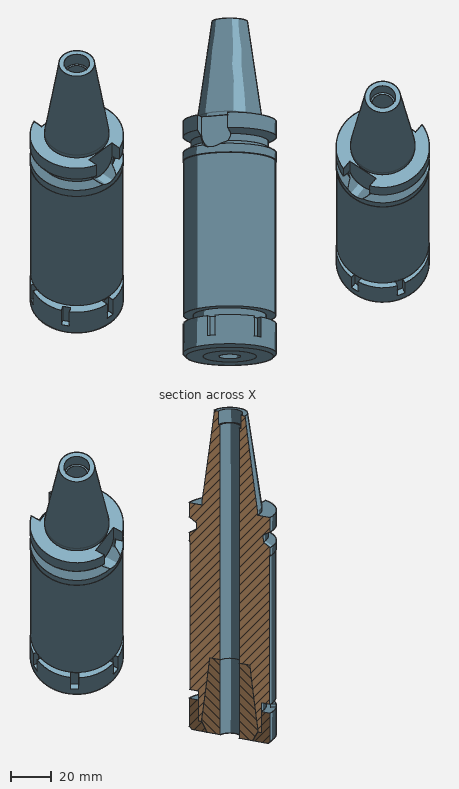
import cadquery as cq
import math


GAUGE_RADIUS = 31.75 / 2
TAPER_LENGTH = 48.4
TAPER_PER_LENGTH = 7 / 24
SHANK_TIP_RADIUS = GAUGE_RADIUS - TAPER_LENGTH * TAPER_PER_LENGTH / 2

FLANGE_RADIUS = 23.0
FLANGE_TOP = -2.0
FLANGE_BOTTOM = -22.2
FLANGE_EDGE_CHAMFER = 0.25
GROOVE_RADIUS = 19.1
GROOVE_MIDDLE = -13.65
GROOVE_FLOOR_WIDTH = 3.5
GROOVE_ANGLE = 60.0
GROOVE_MOUTH_WIDTH = GROOVE_FLOOR_WIDTH + 2 * (FLANGE_RADIUS - GROOVE_RADIUS) * math.tan(
    math.radians(GROOVE_ANGLE / 2)
)

NOTCH_WIDTH = 16.1
NOTCH_FLOOR_DISTANCE = 16.3
NOTCH_BOTTOM = -19.0

BODY_RADIUS = FLANGE_RADIUS - FLANGE_EDGE_CHAMFER
BODY_BOTTOM = -99.4
NOSE_RADIUS = 18.0

THROUGH_BORE_RADIUS = 5.3
COUNTERBORE_RADIUS = 6.25
COUNTERBORE_DEPTH = 7.0

NUT_RADIUS = 23.0
NUT_TOP = -103.8
NUT_BOTTOM = -120.0
NUT_CHAMFER = 1.5
NUT_SLOT_COUNT = 6
NUT_SLOT_WIDTH = 4.0
NUT_SLOT_DEPTH = 3.0
NUT_SLOT_HEIGHT = 10.0
NUT_FRONT_WALL = 5.0
NOSE_BOTTOM = NUT_BOTTOM + NUT_FRONT_WALL

COLLET_RADIUS = 16.0
COLLET_SEAT_LENGTH = 34.0
COLLET_SEAT_ANGLE = 8.0
COLLET_FACE_ANGLE = 30.0
COLLET_TOP = NOSE_BOTTOM + COLLET_SEAT_LENGTH
COLLET_TOP_RADIUS = COLLET_RADIUS - COLLET_SEAT_LENGTH * math.tan(math.radians(COLLET_SEAT_ANGLE))
COLLET_FACE_RADIUS = COLLET_RADIUS - NUT_FRONT_WALL * math.tan(math.radians(COLLET_FACE_ANGLE))


def revolve_about_z(outline):
    """Revolve a closed (radius, z) outline around the Z axis."""
    return cq.Workplane("XZ").polyline(outline).close().revolve(360, (0, 0, 0), (0, 1, 0))


def collet_envelope():
    """Solid double cone that fills the holder seat and the nut opening."""
    return revolve_about_z([
        (0, COLLET_TOP),
        (COLLET_TOP_RADIUS, COLLET_TOP),
        (COLLET_RADIUS, NOSE_BOTTOM),
        (COLLET_FACE_RADIUS, NUT_BOTTOM),
        (0, NUT_BOTTOM),
    ])


def through_bore():
    """Cylinder along the whole axis."""
    length = TAPER_LENGTH - NUT_BOTTOM
    return cq.Workplane("XY", origin=(0, 0, NUT_BOTTOM)).circle(THROUGH_BORE_RADIUS).extrude(length)


def drive_notch():
    """Cutter for the +X notch: open at the top, with a full-round bottom."""
    half_width = NOTCH_WIDTH / 2
    arc_center = NOTCH_BOTTOM + half_width
    return (
        cq.Workplane("YZ", origin=(NOTCH_FLOOR_DISTANCE, 0, 0))
        .moveTo(-half_width, FLANGE_TOP)
        .lineTo(-half_width, arc_center)
        .threePointArc((0, NOTCH_BOTTOM), (half_width, arc_center))
        .lineTo(half_width, FLANGE_TOP)
        .close()
        .extrude(FLANGE_RADIUS)
    )


def make_holder():
    """Shank, grooved flange, body and nose in one piece."""
    holder = revolve_about_z([
        (0, TAPER_LENGTH),
        (SHANK_TIP_RADIUS, TAPER_LENGTH),
        (GAUGE_RADIUS, 0),
        (GAUGE_RADIUS, FLANGE_TOP),
        (FLANGE_RADIUS, FLANGE_TOP),
        (FLANGE_RADIUS, GROOVE_MIDDLE + GROOVE_MOUTH_WIDTH / 2),
        (GROOVE_RADIUS, GROOVE_MIDDLE + GROOVE_FLOOR_WIDTH / 2),
        (GROOVE_RADIUS, GROOVE_MIDDLE - GROOVE_FLOOR_WIDTH / 2),
        (FLANGE_RADIUS, GROOVE_MIDDLE - GROOVE_MOUTH_WIDTH / 2),
        (FLANGE_RADIUS, FLANGE_BOTTOM + FLANGE_EDGE_CHAMFER),
        (BODY_RADIUS, FLANGE_BOTTOM),
        (BODY_RADIUS, BODY_BOTTOM),
        (NOSE_RADIUS, BODY_BOTTOM),
        (NOSE_RADIUS, NOSE_BOTTOM),
        (0, NOSE_BOTTOM),
    ])
    for angle in (0, 180):
        holder = holder.cut(drive_notch().rotate((0, 0, 0), (0, 0, 1), angle))
    counterbore = (
        cq.Workplane("XY", origin=(0, 0, TAPER_LENGTH))
        .circle(COUNTERBORE_RADIUS)
        .extrude(-COUNTERBORE_DEPTH)
    )
    return holder.cut(counterbore).cut(through_bore()).cut(collet_envelope())


def make_collet():
    """Collet filling the seat, with the through bore."""
    return collet_envelope().cut(through_bore())


def make_nut():
    """Cup over the nose, with spanner slots open at the top rim."""
    nut = revolve_about_z([
        (NOSE_RADIUS, NUT_TOP),
        (NUT_RADIUS, NUT_TOP),
        (NUT_RADIUS, NUT_BOTTOM + NUT_CHAMFER),
        (NUT_RADIUS - NUT_CHAMFER, NUT_BOTTOM),
        (COLLET_FACE_RADIUS, NUT_BOTTOM),
        (COLLET_RADIUS, NOSE_BOTTOM),
        (NOSE_RADIUS, NOSE_BOTTOM),
    ])
    slot = (
        cq.Workplane("XY", origin=(NUT_RADIUS, 0, NUT_TOP))
        .rect(2 * NUT_SLOT_DEPTH, NUT_SLOT_WIDTH)
        .extrude(-NUT_SLOT_HEIGHT)
    )
    for index in range(NUT_SLOT_COUNT):
        angle = index * 360 / NUT_SLOT_COUNT
        nut = nut.cut(slot.rotate((0, 0, 0), (0, 0, 1), angle))
    return nut


holder = make_holder()
collet = make_collet()
nut = make_nut()
result = cq.Compound.makeCompound([holder.val(), collet.val(), nut.val()])